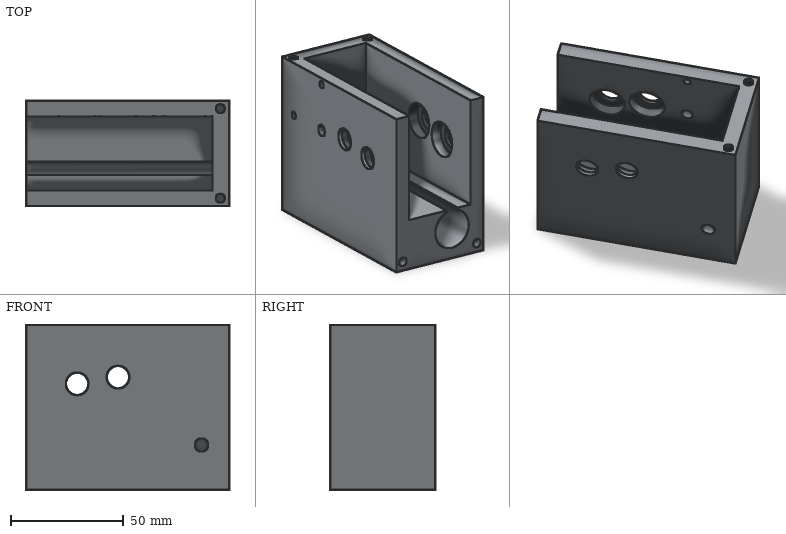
import cadquery as cq

length = 90.5
width = 47.0
height = 73.5

side_wall = 7.0
end_wall = 7.5
cavity_depth = 50.0
cavity_length = length - end_wall
cavity_width = width - 2 * side_wall
floor_z = height - cavity_depth

bore_diameter = 18.0
bore_y = 16.9
bore_z = 14.0
slot_width = 6.0

screw_diameter = 6.0
screw_x = 78.1
screw_z = 20.0

seat_centers = [(22.7, 47.2), (40.9, 50.2)]
seat_hole_diameter = 10.0
seat_diameter = 16.1
seat_depth = 5.0

pivot_x = 59.2
pivot_z = 48.4
pivot_diameter = 5.2
pin_radius = 22.0
pin_diameter = 3.2
pin_clearance_diameter = 6.0

fastener_diameter = 4.0
fastener_depth = 10.0
fastener_side_offset = 3.5
fastener_end_offset = 4.0
fastener_bottom_offset = 4.25


def cylinder_x(y, z, diameter, start, depth):
    """Cylinder running toward +X from x = start."""
    origin = cq.Vector(start, y, z)
    return cq.Workplane(cq.Solid.makeCylinder(diameter / 2, depth, origin, cq.Vector(1, 0, 0)))


def cylinder_y(x, z, diameter, start, depth):
    """Cylinder running toward +Y from y = start."""
    origin = cq.Vector(x, start, z)
    return cq.Workplane(cq.Solid.makeCylinder(diameter / 2, depth, origin, cq.Vector(0, 1, 0)))


def cylinder_down(x, y, diameter, top, depth):
    """Cylinder running toward -Z from z = top."""
    origin = cq.Vector(x, y, top)
    return cq.Workplane(cq.Solid.makeCylinder(diameter / 2, depth, origin, cq.Vector(0, 0, -1)))


body = cq.Workplane().box(length, width, height, centered=False)

cavity = cq.Workplane().box(cavity_length, cavity_width, cavity_depth, centered=False)
body = body.cut(cavity.translate((0, side_wall, floor_z)))

slot = cq.Workplane().box(cavity_length, slot_width, floor_z - bore_z, centered=False)
body = body.cut(cylinder_x(bore_y, bore_z, bore_diameter, 0, cavity_length))
body = body.cut(slot.translate((0, bore_y - slot_width / 2, bore_z)))

body = body.cut(cylinder_y(screw_x, screw_z, screw_diameter, 0, side_wall))

seat_span = cavity_width + 2 * seat_depth
for x, z in seat_centers:
    body = body.cut(cylinder_y(x, z, seat_hole_diameter, 0, width))
    body = body.cut(cylinder_y(x, z, seat_diameter, side_wall - seat_depth, seat_span))

upper_pin = (pivot_x, pivot_z + pin_radius)
end_pin = (pivot_x + pin_radius, pivot_z)
inner_y = width - side_wall
body = body.cut(cylinder_y(pivot_x, pivot_z, pivot_diameter, inner_y, side_wall))
for x, z in (upper_pin, end_pin):
    body = body.cut(cylinder_y(x, z, pin_diameter, inner_y, side_wall))

body = body.cut(cylinder_y(*end_pin, pin_clearance_diameter, side_wall, cavity_width))

for y in (fastener_side_offset, width - fastener_side_offset):
    top_x = length - fastener_end_offset
    body = body.cut(cylinder_down(top_x, y, fastener_diameter, height, fastener_depth))
    body = body.cut(cylinder_x(y, fastener_bottom_offset, fastener_diameter, 0, fastener_depth))

result = body